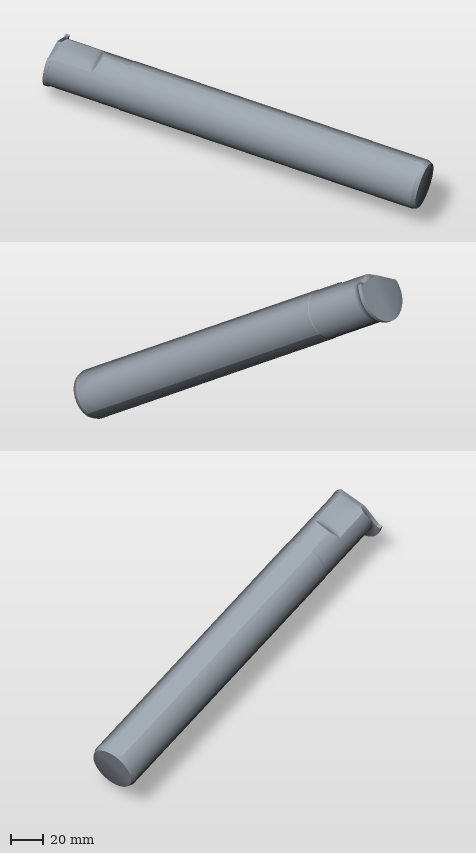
import cadquery as cq
import math

length = 250.0

shank_radius = 16.0
shank_start = 50.0
shoulder_length = 0.5
flat_height = 15.0
end_chamfer_length = 3.0
end_chamfer_depth = 1.2

neck_radius = 15.8

rim_radius = 18.8
rim_offset = rim_radius - shank_radius
rim_width = 2.5

relief_tilt = 7.0
relief_height = 12.5
nose_height = 11.0
nose_ramp_length = 4.0
relief_end = 29.2

groove_foot_y = 19.0
groove_angle = 43.0

tip_y = 22.0
tip_clearance = 1.0
insert_inner_y = 7.8
insert_inner_top = 2.5
insert_inner_bottom = -2.8
insert_outer_bottom = -3.5
insert_outer_top = 1.8

clear = 25.0


def box(x_range, y_range, z_range):
    """Axis-aligned box between pairs of limits."""
    sizes = [high - low for low, high in (x_range, y_range, z_range)]
    corner = cq.Vector(x_range[0], y_range[0], z_range[0])
    return cq.Workplane(cq.Solid.makeBox(*sizes, pnt=corner))


def turned_bar():
    """Collar at the cutting end, neck and shank as one revolved profile."""
    profile = (
        cq.Workplane("XY")
        .lineTo(0, shank_radius)
        .lineTo(rim_width, shank_radius)
        .lineTo(rim_width, neck_radius)
        .lineTo(shank_start, neck_radius)
        .lineTo(shank_start + shoulder_length, shank_radius)
        .lineTo(length - end_chamfer_length, shank_radius)
        .lineTo(length, shank_radius - end_chamfer_depth)
        .lineTo(length, 0)
        .close()
    )
    return profile.revolve(360, (0, 0, 0), (1, 0, 0))


def clamping_flats():
    """Cutters: the top flat runs full length, the bottom one along the shank only."""
    side = (-clear, clear)
    top = box((0, length), side, (flat_height, clear))
    bottom = box((shank_start, length), side, (-clear, -flat_height))
    return top.union(bottom)


def support_rim():
    """Eccentric disc, kept below the axis and on the insert side."""
    disc = cq.Workplane("YZ").center(rim_offset, 0).circle(rim_radius).extrude(rim_width)
    unused_quarter = box((0, rim_width), (-clear, rim_offset), (0, clear))
    return disc.cut(unused_quarter)


def relief_cutter():
    """Removes the neck's top above a tilted flat; the rear ramp rises at 45 degrees."""
    cutter = (
        cq.Workplane("XZ")
        .moveTo(0, nose_height)
        .lineTo(nose_ramp_length, relief_height)
        .lineTo(relief_end, relief_height)
        .lineTo(relief_end + clear - relief_height, clear)
        .lineTo(0, clear)
        .close()
        .extrude(clear, both=True)
    )
    return cutter.rotate((0, 0, 0), (1, 0, 0), -relief_tilt)


def groove_cutter():
    """Sloping chip groove and the level rake face in front of it."""
    angle = math.radians(groove_angle)
    slope = cq.Plane(
        origin=(0, groove_foot_y, 0),
        xDir=(1, 0, 0),
        normal=(0, -math.cos(angle), math.sin(angle)),
    )
    groove = (
        cq.Workplane(slope)
        .lineTo(rim_width, 0)
        .lineTo(rim_width + clear, clear)
        .lineTo(0, clear)
        .close()
        .extrude(clear)
    )
    rake = box((0, rim_width), (groove_foot_y, clear), (0, clear))
    return groove.union(rake)


def insert_blank():
    """Insert before its chip groove is cut; also the shape of its seat."""
    return (
        cq.Workplane("YZ")
        .moveTo(tip_y, 0)
        .lineTo(groove_foot_y, insert_outer_top)
        .lineTo(insert_inner_y, insert_inner_top)
        .lineTo(insert_inner_y, insert_inner_bottom)
        .lineTo(tip_y - tip_clearance, insert_outer_bottom)
        .close()
        .extrude(rim_width)
    )


def make_holder():
    holder = turned_bar().cut(clamping_flats()).union(support_rim())
    holder = holder.cut(relief_cutter()).cut(groove_cutter())
    return holder.cut(insert_blank())


def make_insert():
    return insert_blank().cut(groove_cutter())


holder = make_holder()
insert = make_insert()
result = cq.Compound.makeCompound([holder.val(), insert.val()])